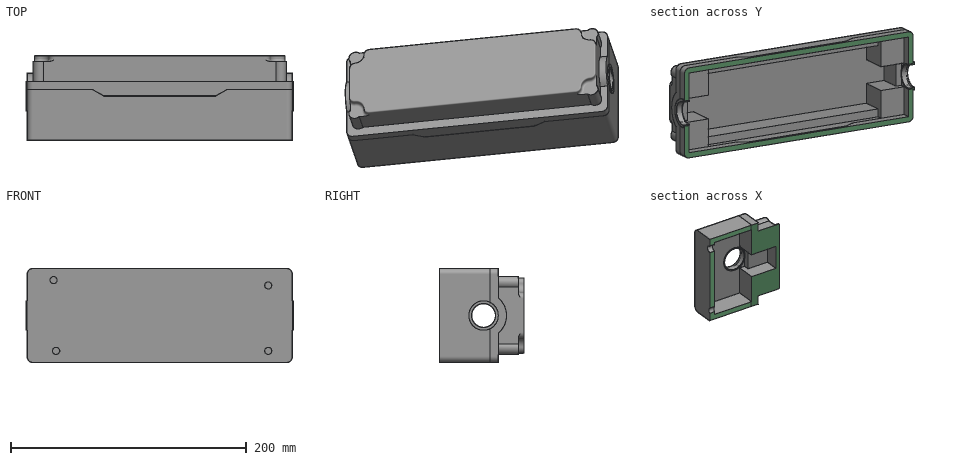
import cadquery as cq
import math


box_length = 225.0
box_width = 80.0
corner_radius = 5.0
split_y = 43.0
flange_y = 50.0
wall = 5.0
side_z = box_width / 2

raised_length = 212.5
raised_width = 64.0
top_y = 71.92
raised_corner_radius = 5.0
top_edge_radius = 1.0
lid_wall = 4.0
flange_roof = 2.0
raised_x = raised_length / 2
raised_z = raised_width / 2

post_radius = 5.5
post_x = 102.0
post_z = 27.75
post_top_y = 67.0

notch_radius = 7.5
notch_edge_radius = 5.0
notch_floor_radius = 2.0
notch_size = 2 * notch_edge_radius + notch_radius
notch_headroom = 1.0

recess_bottom_y = 37.5
recess_bottom_half = 47.0
recess_top_half = 56.8
tab_clearance = 0.5

bore_y = 37.5
bore_diameter = 20.0
sleeve_diameter = 22.0
collar_diameter = 25.0
collar_thickness = 1.0
end_boss_radius = 19.5

mount_hole_diameter = 6.0
mount_hole_places = [(-90.0, 30.0), (-88.0, -30.0), (92.0, 25.5), (92.0, -30.0)]

corner_signs = [(sx, sz) for sx in (-1, 1) for sz in (-1, 1)]
end_signs = (-1, 1)


def plane_at(y):
    """Sketch plane with axes (X, Z), whose extrusions grow toward +Y."""
    return cq.Workplane(cq.Plane(origin=(0, y, 0), xDir=(1, 0, 0), normal=(0, -1, 0)))


def block(length, width, y_low, y_high):
    return plane_at(y_low).rect(length, width).extrude(y_low - y_high)


def rounded_block(length, width, radius, y_low, y_high):
    return block(length, width, y_low, y_high).edges("|Y").fillet(radius)


def end_cylinder(radius, x_low, x_high):
    """Cylinder on the grommet axis, between two X positions."""
    axis = cq.Plane(origin=(x_low, bore_y, 0), xDir=(0, 1, 0), normal=(1, 0, 0))
    return cq.Workplane(axis).circle(radius).extrude(x_high - x_low)


def tab_shape(bottom_y, sign):
    """Tapered tab reaching down from the split line through one long wall."""
    slope = (recess_top_half - recess_bottom_half) / (split_y - recess_bottom_y)
    bottom_half = recess_bottom_half + slope * (bottom_y - recess_bottom_y)
    outline = [
        (-recess_top_half, split_y),
        (-bottom_half, bottom_y),
        (bottom_half, bottom_y),
        (recess_top_half, split_y),
    ]
    tab = cq.Workplane("XY").polyline(outline).close().extrude(wall)
    return tab.translate((0, 0, side_z - wall if sign > 0 else -side_z))


def corner_notch(sx, sz):
    """Open corner above a post, with a rounded edge where its wall meets its floor."""
    centre_x = raised_x - notch_edge_radius
    centre_z = raised_z - notch_edge_radius
    deep_x = centre_x - notch_radius
    deep_z = centre_z - notch_radius
    end_x = raised_x - notch_size
    end_z = raised_z - notch_size
    diagonal = math.sqrt(0.5)
    hollow_bulge = notch_radius * diagonal
    edge_bulge = notch_edge_radius * diagonal
    outside_x = raised_x + post_radius
    outside_z = raised_z + post_radius
    notch = (
        plane_at(post_top_y)
        .moveTo(raised_x, end_z)
        .threePointArc((centre_x + edge_bulge, end_z + edge_bulge), (centre_x, deep_z))
        .threePointArc((centre_x - hollow_bulge, centre_z - hollow_bulge), (deep_x, centre_z))
        .threePointArc((end_x + edge_bulge, centre_z + edge_bulge), (end_x, raised_z))
        .lineTo(end_x, outside_z)
        .lineTo(outside_x, outside_z)
        .lineTo(outside_x, end_z)
        .close()
        .extrude(post_top_y - top_y - notch_headroom)
    )
    margin = 0.1
    floor_wall_edges = cq.selectors.BoxSelector(
        (end_x - margin, post_top_y - margin, end_z - margin),
        (raised_x + margin, post_top_y + margin, raised_z + margin),
    )
    notch = notch.edges(floor_wall_edges).fillet(notch_floor_radius)
    if sx < 0:
        notch = notch.mirror("YZ")
    if sz < 0:
        notch = notch.mirror("XY")
    return notch


def corner_post(sx, sz):
    post = plane_at(split_y).center(-post_x, sz * post_z).circle(post_radius)
    post = post.extrude(split_y - post_top_y)
    return post.mirror("YZ") if sx > 0 else post


def cut_sleeve_holes(body):
    """Open both end walls for the grommet sleeves."""
    face_x = box_length / 2
    for wall_start_x in (-face_x, face_x - wall):
        body = body.cut(end_cylinder(sleeve_diameter / 2, wall_start_x, wall_start_x + wall))
    return body


def make_base():
    base = rounded_block(box_length, box_width, corner_radius, 0, split_y)
    base = base.cut(block(box_length - 2 * wall, box_width - 2 * wall, wall, split_y))
    for sign in end_signs:
        base = base.cut(tab_shape(recess_bottom_y, sign))
    base = cut_sleeve_holes(base)
    holes = plane_at(0).pushPoints(mount_hole_places).circle(mount_hole_diameter / 2)
    return base.cut(holes.extrude(-wall))


def lid_cavity():
    """Hollow under the flange and the raised part, leaving a solid pillar in each corner."""
    hollow = block(
        raised_length - 2 * lid_wall, raised_width - 2 * lid_wall, split_y, top_y - lid_wall
    )
    inner_length = box_length - 2 * wall
    inner_width = box_width - 2 * wall
    hollow = hollow.union(block(inner_length, inner_width, split_y, flange_y - flange_roof))
    pillar_start_x = raised_x - notch_size - lid_wall
    pillar_start_z = raised_z - notch_size - lid_wall
    pillar_length = box_length / 2 - pillar_start_x
    pillar_width = side_z - pillar_start_z
    pillar = block(pillar_length, pillar_width, split_y, top_y)
    for sx, sz in corner_signs:
        pillar_x = sx * (pillar_start_x + pillar_length / 2)
        pillar_z = sz * (pillar_start_z + pillar_width / 2)
        hollow = hollow.cut(pillar.translate((pillar_x, 0, pillar_z)))
    return hollow


def make_lid():
    lid = rounded_block(raised_length, raised_width, raised_corner_radius, split_y, top_y)
    for sx, sz in corner_signs:
        lid = lid.cut(corner_notch(sx, sz))
    lid = lid.faces(">Y").edges().fillet(top_edge_radius)
    lid = lid.union(rounded_block(box_length, box_width, corner_radius, split_y, flange_y))
    for sx, sz in corner_signs:
        lid = lid.union(corner_post(sx, sz))
    bosses = end_cylinder(end_boss_radius, -box_length / 2, box_length / 2)
    lid = lid.union(bosses.intersect(block(box_length, box_width, split_y, top_y)))
    lid = lid.cut(lid_cavity())
    for sign in end_signs:
        lid = lid.union(tab_shape(recess_bottom_y + tab_clearance, sign))
    return cut_sleeve_holes(lid)


def make_grommet(sign):
    """Flanged sleeve: the collar lies on the end face and the sleeve passes through the wall."""
    face_x = box_length / 2
    grommet = end_cylinder(sleeve_diameter / 2, face_x - wall, face_x)
    grommet = grommet.union(end_cylinder(collar_diameter / 2, face_x, face_x + collar_thickness))
    grommet = grommet.cut(end_cylinder(bore_diameter / 2, face_x - wall, face_x + collar_thickness))
    return grommet if sign > 0 else grommet.mirror("YZ")


base = make_base()
lid = make_lid()
grommets = [make_grommet(sign) for sign in end_signs]

result = cq.Compound.makeCompound(
    [base.val(), lid.val(), *[grommet.val() for grommet in grommets]]
)